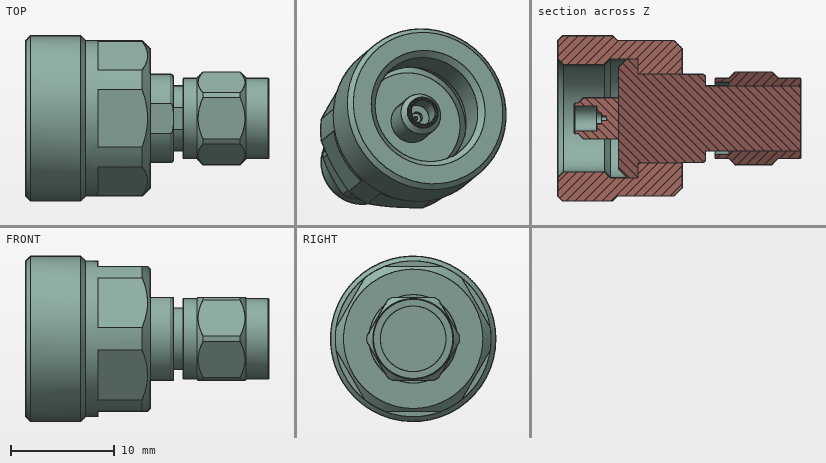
import cadquery as cq
import math

LENGTH = 23.5

COUPLING_END = 12.05
RIM_DIAMETER = 16.0
RIM_RADIUS = RIM_DIAMETER / 2
RIM_CHAMFER = 0.47
RIM_END = 5.78
BARREL_RADIUS = RIM_RADIUS - RIM_CHAMFER
COUPLING_FLAT_DISTANCE = 7.0
COUPLING_FLAT_START = 6.98
COUPLING_END_CHAMFER = 0.8
MOUTH_RADIUS = 5.73
BORE_RADIUS = 5.17
BORE_END = 4.54

FLANGE_START = 5.88
FLANGE_FACE_RADIUS = 4.94
FLANGE_RADIUS = 5.73
FLANGE_CHAMFER = FLANGE_RADIUS - FLANGE_FACE_RADIUS
FLANGE_END = 7.75
COLLAR_RADIUS = 4.28
COLLAR_FLAT_DISTANCE = 4.02
COLLAR_END = 14.29
COLLAR_FILLET = 0.3
NECK_RADIUS = 3.17
NECK_FLAT_DISTANCE = 2.98

NUT_START = 15.2
NUT_RADIUS = 3.9
NUT_EDGE_CHAMFER = 0.07
HEX_START = 16.55
HEX_END = 21.31
HEX_CORNER_RADIUS = 4.5
HEX_FLAT_DISTANCE = 4.02
HEX_CHAMFER = HEX_CORNER_RADIUS - NUT_RADIUS

CONTACT_START = 1.6
CONTACT_TIP_RADIUS = 1.5
CONTACT_TIP_CHAMFER = 0.1
CONTACT_RADIUS = 2.0
CONTACT_CONE_START = 2.0
CONTACT_CONE_LENGTH = CONTACT_RADIUS - CONTACT_TIP_RADIUS
SOCKET_RADIUS = 1.2
SOCKET_END = 3.75
PILOT_RADIUS = 0.52
PILOT_END = 4.23
CENTRE_HOLE_RADIUS = 0.19
CENTRE_HOLE_END = 4.7

RECESS_RADIUS = 3.48
RECESS_END = HEX_START

HEX_SIDES = 6


def revolve_profile(points):
    """Turn a closed outline of (x, radius) points about the X axis."""
    return cq.Workplane("XY").polyline(points).close().revolve(360, (0, 0, 0), (1, 0, 0))


def cylinder(start, end, radius):
    """Round bar along the X axis."""
    return cq.Workplane("YZ", origin=(start, 0, 0)).circle(radius).extrude(end - start)


def hex_prism(start, end, flat_distance):
    """Hexagonal bar along the X axis with flats facing +Z and -Z."""
    across_corners = 2 * flat_distance / math.cos(math.pi / HEX_SIDES)
    return cq.Workplane("YZ", origin=(start, 0, 0)).polygon(HEX_SIDES, across_corners).extrude(end - start)


def slab(start, end, flat_distance):
    """Wide plate between two planes facing +Z and -Z."""
    length = end - start
    plate = cq.Workplane("XY").box(length, RIM_DIAMETER, 2 * flat_distance)
    return plate.translate((start + length / 2, 0, 0))


def make_coupling_nut():
    blank = revolve_profile([
        (0, 0),
        (0, BARREL_RADIUS),
        (RIM_CHAMFER, RIM_RADIUS),
        (RIM_END - RIM_CHAMFER, RIM_RADIUS),
        (RIM_END, BARREL_RADIUS),
        (COUPLING_END - COUPLING_END_CHAMFER, BARREL_RADIUS),
        (COUPLING_END, BARREL_RADIUS - COUPLING_END_CHAMFER),
        (COUPLING_END, 0),
    ])
    round_part = cylinder(0, COUPLING_FLAT_START, RIM_RADIUS)
    hex_part = hex_prism(COUPLING_FLAT_START, COUPLING_END, COUPLING_FLAT_DISTANCE)
    outside = blank.intersect(round_part.union(hex_part))

    mouth_chamfer = MOUTH_RADIUS - BORE_RADIUS
    undercut_depth = FLANGE_RADIUS - BORE_RADIUS
    cavity = revolve_profile([
        (0, 0),
        (0, MOUTH_RADIUS),
        (mouth_chamfer, BORE_RADIUS),
        (BORE_END, BORE_RADIUS),
        (BORE_END + undercut_depth, FLANGE_RADIUS),
        (FLANGE_END, FLANGE_RADIUS),
        (FLANGE_END, COLLAR_RADIUS),
        (COUPLING_END, COLLAR_RADIUS),
        (COUPLING_END, 0),
    ])
    return outside.cut(cavity)


def make_adapter_body():
    flange = cylinder(FLANGE_START, FLANGE_END, FLANGE_RADIUS).faces("<X").chamfer(FLANGE_CHAMFER)
    shank = cylinder(FLANGE_END, COUPLING_END, COLLAR_RADIUS)
    collar = cylinder(COUPLING_END, COLLAR_END, COLLAR_RADIUS).faces(">X").edges().fillet(COLLAR_FILLET)
    collar = collar.intersect(slab(COUPLING_END, COLLAR_END, COLLAR_FLAT_DISTANCE))
    neck = cylinder(COLLAR_END, RECESS_END, NECK_RADIUS)
    neck = neck.intersect(slab(COLLAR_END, RECESS_END, NECK_FLAT_DISTANCE))
    nut_core = cylinder(RECESS_END, LENGTH, NECK_RADIUS)
    return flange.union(shank).union(collar).union(neck).union(nut_core)


def make_hex_nut():
    sleeve = cylinder(NUT_START, LENGTH, NUT_RADIUS).edges().chamfer(NUT_EDGE_CHAMFER)
    hex_blank = revolve_profile([
        (HEX_START, 0),
        (HEX_START, NUT_RADIUS),
        (HEX_START + HEX_CHAMFER, HEX_CORNER_RADIUS),
        (HEX_END - HEX_CHAMFER, HEX_CORNER_RADIUS),
        (HEX_END, NUT_RADIUS),
        (HEX_END, 0),
    ])
    hexagon = hex_blank.intersect(hex_prism(HEX_START, HEX_END, HEX_FLAT_DISTANCE))
    recess = cylinder(NUT_START, RECESS_END, RECESS_RADIUS)
    bore = cylinder(RECESS_END, LENGTH, NECK_RADIUS)
    return sleeve.union(hexagon).cut(recess).cut(bore)


def make_centre_contact():
    tip_face_radius = CONTACT_TIP_RADIUS - CONTACT_TIP_CHAMFER
    socket_mouth_radius = SOCKET_RADIUS + CONTACT_TIP_CHAMFER
    return revolve_profile([
        (CONTACT_START, socket_mouth_radius),
        (CONTACT_START, tip_face_radius),
        (CONTACT_START + CONTACT_TIP_CHAMFER, CONTACT_TIP_RADIUS),
        (CONTACT_CONE_START, CONTACT_TIP_RADIUS),
        (CONTACT_CONE_START + CONTACT_CONE_LENGTH, CONTACT_RADIUS),
        (FLANGE_START, CONTACT_RADIUS),
        (FLANGE_START, 0),
        (CENTRE_HOLE_END, 0),
        (CENTRE_HOLE_END, CENTRE_HOLE_RADIUS),
        (PILOT_END, CENTRE_HOLE_RADIUS),
        (PILOT_END, PILOT_RADIUS),
        (SOCKET_END, PILOT_RADIUS),
        (SOCKET_END, SOCKET_RADIUS),
        (CONTACT_START + CONTACT_TIP_CHAMFER, SOCKET_RADIUS),
    ])


coupling_nut = make_coupling_nut()
adapter_body = make_adapter_body()
hex_nut = make_hex_nut()
centre_contact = make_centre_contact()

result = cq.Compound.makeCompound([
    coupling_nut.val(),
    adapter_body.val(),
    hex_nut.val(),
    centre_contact.val(),
])